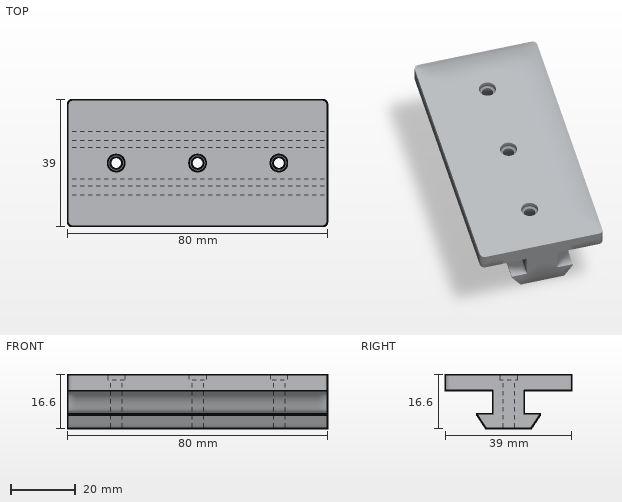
import cadquery as cq

length = 80.0
plate_width = 39.0
plate_thickness = 5.0
corner_radius = 1.5
total_height = 16.6

stem_width = 9.8
foot_width = 19.4
foot_base_width = 13.9
foot_height = 4.6
foot_lip_height = 0.5

hole_count = 3
hole_pitch = 25.0
hole_diameter = 3.5
counterbore_diameter = 5.3
counterbore_depth = 1.6

plate_bottom = total_height - plate_thickness


def make_plate():
    """Flat plate with rounded vertical corners."""
    return (
        cq.Workplane("XY", origin=(0, 0, plate_bottom))
        .rect(length, plate_width)
        .extrude(plate_thickness)
        .edges("|Z")
        .fillet(corner_radius)
    )


def make_rail():
    """Stem and tapered foot, extruded along the whole length."""
    return (
        cq.Workplane("YZ", origin=(-length / 2, 0, 0))
        .moveTo(0, 0)
        .lineTo(foot_base_width / 2, 0)
        .lineTo(foot_width / 2, foot_height - foot_lip_height)
        .lineTo(foot_width / 2, foot_height)
        .lineTo(stem_width / 2, foot_height)
        .lineTo(stem_width / 2, plate_bottom)
        .lineTo(0, plate_bottom)
        .mirrorY()
        .extrude(length)
    )


def cut_screw_holes(body):
    """Row of through holes, counterbored from the top of the plate."""
    return (
        body.faces(">Z")
        .workplane(origin=(0, 0, total_height))
        .rarray(hole_pitch, 0.8, hole_count, 1)
        .cboreHole(hole_diameter, counterbore_diameter, counterbore_depth)
    )


result = cut_screw_holes(make_plate().union(make_rail()))